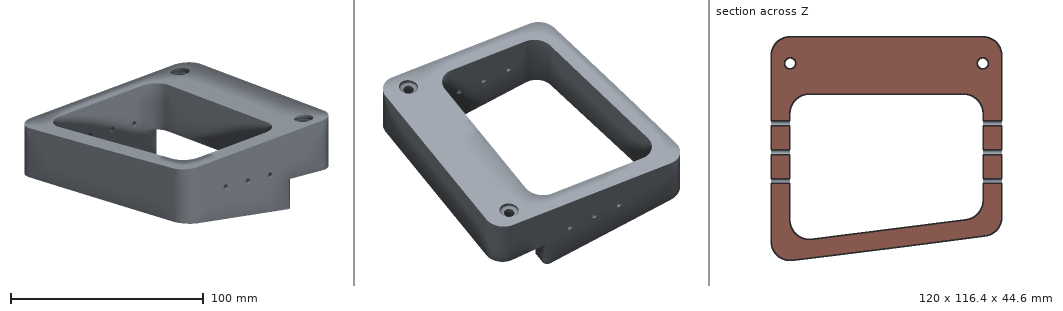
import cadquery as cq
import math

width = 120.0
depth = 116.4
height = 44.6

wall = 10.0
corner_radius = 10.0
rear_depth = 30.0
window_rear = depth - rear_depth
front_slope = math.tan(math.radians(7.2))
front_bow = 0.2
corner_slope = front_slope - 4 * front_bow / width
outer_front_left = corner_radius * (1 - corner_slope - math.hypot(1, corner_slope))
window_front_left = 9.8

face_slope = math.tan(math.radians(5.0))
ledge_z = 16.5
leg_corner_radius = 3.0

screw_diameter = 5.5
counterbore_diameter = 10.0
counterbore_depth = 2.0
screw_rear_inset = 13.9
pin_diameter = 3.0
pin_pitch = 15.0
pin_center_y = 56.4
pin_z = 21.4


def rounded_prism(left, right, front_left, rear, bow=0):
    """Full-height prism with a slanted, optionally bowed front edge and four rounded corners."""
    front_right = front_left + (right - left) * front_slope
    outline = cq.Workplane("XY").moveTo(left, front_left)
    if bow > 0:
        front_middle = ((left + right) / 2, (front_left + front_right) / 2 - bow)
        outline = outline.threePointArc(front_middle, (right, front_right))
    else:
        outline = outline.lineTo(right, front_right)
    prism = outline.lineTo(right, rear).lineTo(left, rear).close().extrude(height)
    return prism.edges("|Z").fillet(corner_radius)


def side_profile():
    """Wedge-shaped side profile with a raised ledge behind the legs."""
    front = -corner_radius
    top_front = height + (front - depth) * face_slope
    bottom_front = (window_rear - front) * face_slope
    points = [
        (front, bottom_front),
        (window_rear, 0),
        (window_rear, ledge_z),
        (depth, ledge_z),
        (depth, height),
        (front, top_front),
    ]
    return cq.Workplane("YZ").polyline(points).close().extrude(width)


def leg_corner_waste(side_x, inward):
    """Material outside the rounded outer rear corner of one leg, below the ledge."""
    r = leg_corner_radius
    middle = r * (1 - math.sqrt(0.5))
    return (
        cq.Workplane("XY")
        .moveTo(side_x, window_rear - r)
        .threePointArc(
            (side_x + inward * middle, window_rear - middle),
            (side_x + inward * r, window_rear),
        )
        .lineTo(side_x, window_rear)
        .close()
        .extrude(ledge_z)
    )


body = rounded_prism(0, width, outer_front_left, depth, front_bow).intersect(side_profile())
body = body.cut(rounded_prism(wall, width - wall, window_front_left, window_rear))
leg_gap = cq.Workplane("XY", origin=(wall, window_rear - corner_radius, 0)).box(
    width - 2 * wall, corner_radius, ledge_z, centered=False
)
body = body.cut(leg_gap)
for side_x, inward in [(0, 1), (width, -1)]:
    body = body.cut(leg_corner_waste(side_x, inward))

screw_y = depth - screw_rear_inset
counterbore_floor = height - screw_rear_inset * face_slope - counterbore_depth
screw_points = [(wall, screw_y), (width - wall, screw_y)]
for diameter, floor_z in [(screw_diameter, 0), (counterbore_diameter, counterbore_floor)]:
    body = body.cut(
        cq.Workplane("XY", origin=(0, 0, floor_z))
        .pushPoints(screw_points)
        .circle(diameter / 2)
        .extrude(height)
    )

pin_points = [(pin_center_y + i * pin_pitch, pin_z) for i in (-1, 0, 1)]
pins = cq.Workplane("YZ").pushPoints(pin_points).circle(pin_diameter / 2).extrude(width)

result = body.cut(pins)